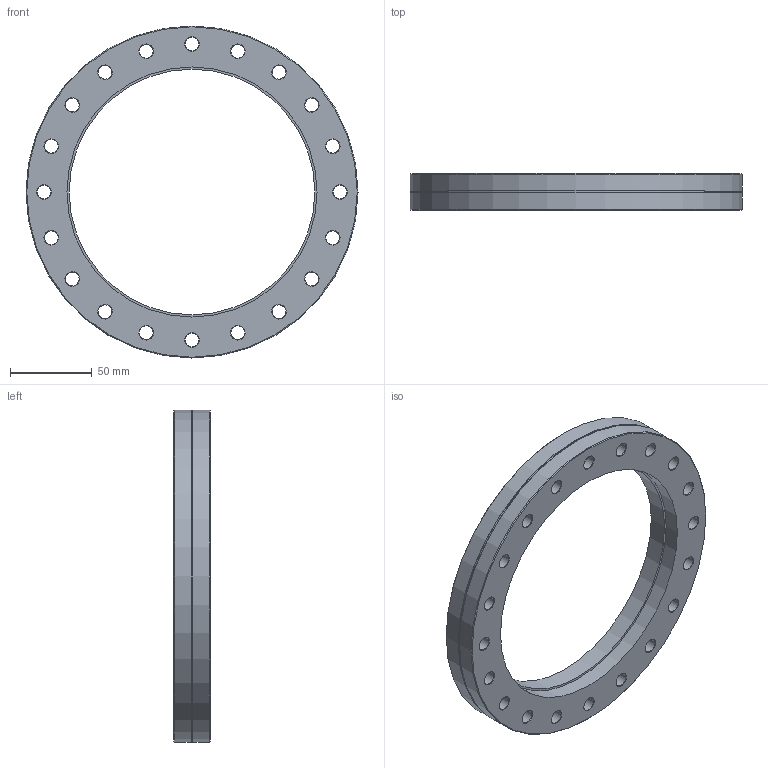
import cadquery as cq

outer_diameter = 203.0
thickness = 22.4
rim_chamfer = 0.5

rim_groove_width = 1.0
rim_groove_depth = 0.3

bore_diameter = 150.2
socket_diameter = 152.9
socket_depth = 9.7
recess_diameter = 171.4
recess_depth = 1.2

bolt_count = 20
bolt_hole_diameter = 8.4
bolt_hole_chamfer = 0.25
bolt_circle_diameter = 181.0

front_y = -thickness / 2
rear_y = thickness / 2


def disc(diameter, start_y, length):
    """Solid disc about the Y axis, extending from start_y toward +Y."""
    plane = cq.Workplane("XZ", origin=(0, start_y, 0))
    return plane.circle(diameter / 2).extrude(-length)


def make_rim():
    blank = disc(outer_diameter, front_y, thickness)
    return blank.edges("%CIRCLE").chamfer(rim_chamfer)


def make_rim_groove():
    groove_start = -rim_groove_width / 2
    outside = disc(outer_diameter, groove_start, rim_groove_width)
    core = disc(outer_diameter - 2 * rim_groove_depth, groove_start, rim_groove_width)
    return outside.cut(core)


def make_stepped_bore():
    through_bore = disc(bore_diameter, front_y, thickness)
    socket = disc(socket_diameter, front_y, socket_depth)
    recess = disc(recess_diameter, rear_y - recess_depth, recess_depth)
    return through_bore.union(socket).union(recess)


def make_bolt_holes():
    """Through holes, each flared at the front face by a small chamfer."""
    hole_radius = bolt_hole_diameter / 2
    hole_profile = [
        (0, front_y),
        (hole_radius + bolt_hole_chamfer, front_y),
        (hole_radius, front_y + bolt_hole_chamfer),
        (hole_radius, rear_y),
        (0, rear_y),
    ]
    hole = cq.Workplane("XY").polyline(hole_profile).close().revolve(360, (0, 0), (0, 1))
    hole = hole.translate((bolt_circle_diameter / 2, 0, 0))
    holes = cq.Workplane("XY")
    for index in range(bolt_count):
        angle = index * 360 / bolt_count
        holes = holes.add(hole.rotate((0, 0, 0), (0, 1, 0), angle))
    return holes.combine()


result = make_rim().cut(make_rim_groove()).cut(make_stepped_bore()).cut(make_bolt_holes())